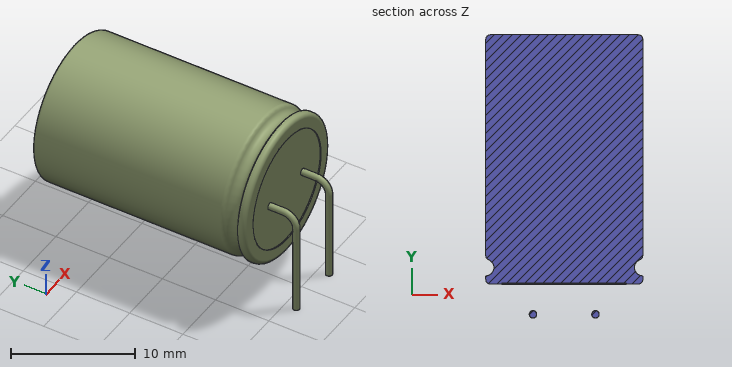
import cadquery as cq


can_diameter = 13.0
can_length = 20.0
can_end_fillet = 0.4

groove_radius = can_diameter / 20
groove_centre_y = 1.35
groove_rim_fillet = 0.1
groove_can_fillet = 0.4

seal_diameter = 0.8 * can_diameter
seal_recess_depth = 0.1

lead_diameter = 0.6
lead_pitch = 5.0
lead_straight_length = 1.2
lead_bend_radius = 1.2
lead_tip_drop = 9.6
lead_root_depth = 1.0

can_radius = can_diameter / 2

edge_tolerance = 0.01


def make_can():
    """Revolve the can's half profile around the Y axis and round its edges."""
    groove_rim_y = groove_centre_y - groove_radius
    groove_can_y = groove_centre_y + groove_radius
    groove_floor_radius = can_radius - groove_radius
    can = (
        cq.Workplane("XY")
        .lineTo(can_radius, 0)
        .lineTo(can_radius, groove_rim_y)
        .threePointArc((groove_floor_radius, groove_centre_y), (can_radius, groove_can_y))
        .lineTo(can_radius, can_length)
        .lineTo(0, can_length)
        .close()
        .revolve(360, (0, 0, 0), (0, 1, 0))
    )
    can = round_can_edge(can, groove_can_y, groove_can_fillet)
    can = round_can_edge(can, groove_rim_y, groove_rim_fillet)
    can = can.faces("<Y").edges().fillet(can_end_fillet)
    return can.faces(">Y").edges().fillet(can_end_fillet)


def round_can_edge(can, edge_y, fillet_radius):
    """Fillet the circular edge of the can's outer surface at the given Y."""
    reach = can_diameter
    band = cq.selectors.BoxSelector(
        (-reach, edge_y - edge_tolerance, -reach),
        (reach, edge_y + edge_tolerance, reach),
        boundingbox=True,
    )
    return can.edges(band).fillet(fillet_radius)


def make_seal_recess():
    """Shallow disc removed from the sealed end."""
    return cq.Workplane("XZ").circle(seal_diameter / 2).extrude(-seal_recess_depth)


def make_lead(x):
    """Sweep a round lead out of the seal, through a quarter bend and down."""
    bend_start_y = -lead_straight_length
    drop_y = bend_start_y - lead_bend_radius
    centreline = (
        cq.Workplane("YZ", origin=(x, 0, 0))
        .moveTo(lead_root_depth, 0)
        .lineTo(bend_start_y, 0)
        .tangentArcPoint((drop_y, -lead_bend_radius), relative=False)
        .lineTo(drop_y, -lead_tip_drop)
    )
    section = cq.Workplane("XZ", origin=(x, lead_root_depth, 0)).circle(lead_diameter / 2)
    return section.sweep(centreline)


result = make_can().cut(make_seal_recess())
for side in (-1, 1):
    result = result.union(make_lead(side * lead_pitch / 2))